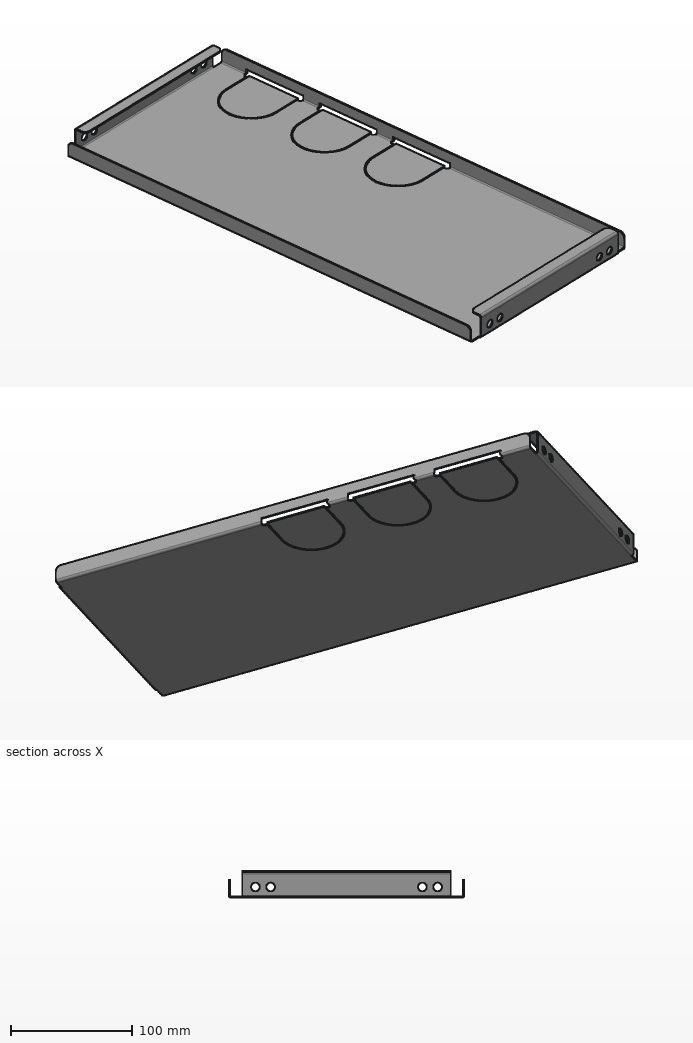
import cadquery as cq

LENGTH = 443.4
WIDTH = 194.0
HEIGHT = 22.2
SHEET = 1.2
BEND_OUTER = 2.2
BEND_INNER = BEND_OUTER - SHEET

LONG_WALL_HEIGHT = 15.0
LONG_WALL_LENGTH = LENGTH - 2 * BEND_OUTER
LONG_WALL_CORNER = 5.0

END_WALL_LENGTH = 172.0
LIP_DEPTH = 12.0
LIP_CORNER = 5.0

HOLE_DIAMETER = 7.0
HOLE_HEIGHT = 9.0
HOLE_OFFSETS = (62.5, 75.0)

TAB_COUNT = 3
TAB_PITCH = 80.0
FIRST_TAB_FROM_END = 60.0
TAB_RADIUS = 26.5
TAB_ARC_INSET = 30.5
TAB_SLOT = 1.0
BRIDGE_WIDTH = 1.0

RELIEF_DEPTH = BEND_OUTER
RELIEF_HEIGHT = 5.0
RELIEF_HOLE_RADIUS = 2.5

HALF_LENGTH = LENGTH / 2
HALF_WIDTH = WIDTH / 2


def make_floor():
    """Flat floor, reaching to the start of every bend."""
    return cq.Workplane("XY").box(
        LONG_WALL_LENGTH, WIDTH - 2 * BEND_OUTER, SHEET, centered=(True, True, False)
    )


def make_long_wall():
    """Front wall and its bend, with the upper corners rounded."""
    profile = (
        cq.Workplane("YZ")
        .moveTo(-HALF_WIDTH + BEND_OUTER, 0)
        .radiusArc((-HALF_WIDTH, BEND_OUTER), BEND_OUTER)
        .lineTo(-HALF_WIDTH, LONG_WALL_HEIGHT)
        .lineTo(-HALF_WIDTH + SHEET, LONG_WALL_HEIGHT)
        .lineTo(-HALF_WIDTH + SHEET, BEND_OUTER)
        .radiusArc((-HALF_WIDTH + BEND_OUTER, SHEET), -BEND_INNER)
        .close()
    )
    wall = profile.extrude(LONG_WALL_LENGTH / 2, both=True)
    return wall.edges("|Y and >Z").fillet(LONG_WALL_CORNER)


def make_end_wall():
    """Left end wall with its floor bend, upper bend and inward lip."""
    outer = -HALF_LENGTH
    inner = outer + SHEET
    bend_end = outer + BEND_OUTER
    lip_end = outer + LIP_DEPTH
    profile = (
        cq.Workplane("XZ")
        .moveTo(bend_end, 0)
        .radiusArc((outer, BEND_OUTER), BEND_OUTER)
        .lineTo(outer, HEIGHT - BEND_OUTER)
        .radiusArc((bend_end, HEIGHT), BEND_OUTER)
        .lineTo(lip_end, HEIGHT)
        .lineTo(lip_end, HEIGHT - SHEET)
        .lineTo(bend_end, HEIGHT - SHEET)
        .radiusArc((inner, HEIGHT - BEND_OUTER), -BEND_INNER)
        .lineTo(inner, BEND_OUTER)
        .radiusArc((bend_end, SHEET), -BEND_INNER)
        .close()
    )
    wall = profile.extrude(END_WALL_LENGTH / 2, both=True)
    lip_corners = cq.selectors.BoxSelector(
        (lip_end - SHEET, -WIDTH, HEIGHT - BEND_OUTER), (lip_end + SHEET, WIDTH, HEIGHT)
    )
    return wall.edges("|Z").edges(lip_corners).fillet(LIP_CORNER)


def make_hole_cutters():
    """Round bars through both end walls."""
    centres = [(side * offset, HOLE_HEIGHT) for side in (-1, 1) for offset in HOLE_OFFSETS]
    return (
        cq.Workplane("YZ")
        .pushPoints(centres)
        .circle(HOLE_DIAMETER / 2)
        .extrude(HALF_LENGTH, both=True)
    )


def make_tab_outline(centre_x, radius):
    """U-shaped block, open towards the rear wall."""
    arc_y = HALF_WIDTH - TAB_ARC_INSET
    tab_end = HALF_WIDTH - RELIEF_DEPTH
    return (
        cq.Workplane("XY")
        .moveTo(centre_x - radius, tab_end)
        .lineTo(centre_x - radius, arc_y)
        .threePointArc((centre_x, arc_y - radius), (centre_x + radius, arc_y))
        .lineTo(centre_x + radius, tab_end)
        .close()
        .extrude(SHEET)
    )


def make_tab_cutter(centre_x):
    """U-shaped slot interrupted by a bridge, plus the bend relief."""
    outer_radius = TAB_RADIUS + TAB_SLOT
    arc_y = HALF_WIDTH - TAB_ARC_INSET
    relief_y = HALF_WIDTH - RELIEF_DEPTH
    slot = make_tab_outline(centre_x, outer_radius).cut(make_tab_outline(centre_x, TAB_RADIUS))
    bridge = (
        cq.Workplane("XY")
        .center(centre_x, arc_y - outer_radius)
        .rect(BRIDGE_WIDTH, 4 * TAB_SLOT)
        .extrude(SHEET)
    )
    relief_end = TAB_RADIUS + RELIEF_HOLE_RADIUS
    relief = (
        cq.Workplane("XY")
        .center(centre_x, HALF_WIDTH - RELIEF_DEPTH / 2)
        .rect(2 * relief_end, RELIEF_DEPTH)
        .extrude(RELIEF_HEIGHT)
    )
    relief_holes = (
        cq.Workplane("XY")
        .pushPoints([(centre_x + side * relief_end, relief_y) for side in (-1, 1)])
        .circle(RELIEF_HOLE_RADIUS)
        .extrude(RELIEF_HEIGHT)
    )
    return slot.cut(bridge).union(relief).union(relief_holes)


front_wall = make_long_wall()
left_wall = make_end_wall()
result = (
    make_floor()
    .union(front_wall)
    .union(front_wall.mirror("XZ"))
    .union(left_wall)
    .union(left_wall.mirror("YZ"))
    .cut(make_hole_cutters())
)
for tab_index in range(TAB_COUNT):
    tab_x = -HALF_LENGTH + FIRST_TAB_FROM_END + tab_index * TAB_PITCH
    result = result.cut(make_tab_cutter(tab_x))